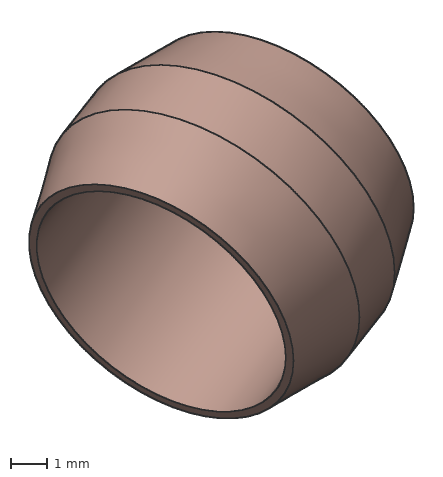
import cadquery as cq

outer_diameter = 10.0
end_diameter = 8.5
bore_diameter = 8.0
ring_length = 6.5
band_length = 1.9

outer_radius = outer_diameter / 2
end_radius = end_diameter / 2
bore_radius = bore_diameter / 2
half_length = ring_length / 2
half_band = band_length / 2

section = (
    cq.Workplane("XY")
    .moveTo(bore_radius, -half_length)
    .lineTo(end_radius, -half_length)
    .lineTo(outer_radius, -half_band)
    .lineTo(outer_radius, half_band)
    .lineTo(end_radius, half_length)
    .lineTo(bore_radius, half_length)
    .close()
)

result = section.revolve(360, (0, 0, 0), (0, 1, 0))